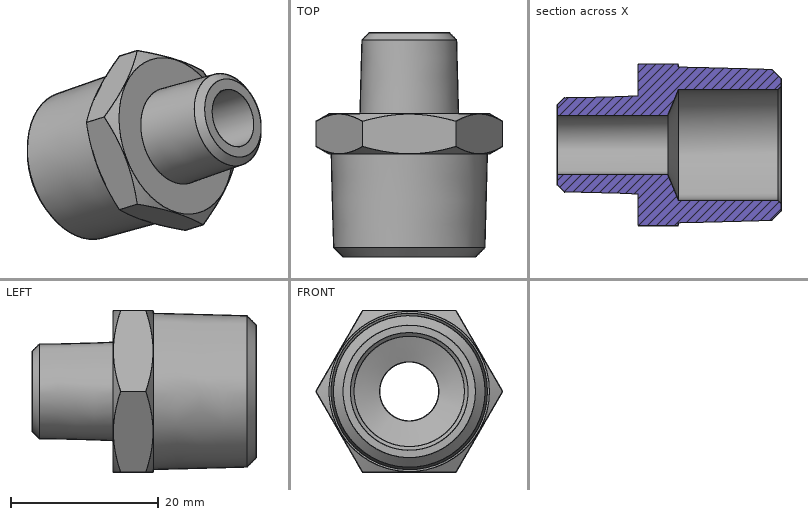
import cadquery as cq
import math

across_flats = 22.0
hex_length = 5.5
large_end_length = 14.0
small_end_length = 11.0

taper_half_angle = 1.5
large_rim_diameter = 20.6
large_chamfer = 1.3
small_rim_diameter = 12.9
small_chamfer = 1.0

hex_chamfer_angle = 30.0
hex_face_diameter = 21.8

bore_diameter = 15.0
bore_mouth_diameter = 16.0
bore_depth = large_end_length
passage_diameter = 8.0
floor_cone_angle = 135.0

total_length = large_end_length + hex_length + small_end_length
large_tip = -total_length / 2
hex_start = large_tip + large_end_length
hex_end = hex_start + hex_length
small_tip = total_length / 2


def revolve_profile(points):
    """Revolve a closed (radius, y) outline about the Y axis."""
    return cq.Workplane("XY").polyline(points).close().revolve(360, (0, 0), (0, 1))


def male_end(tip, root, rim_diameter, chamfer):
    """Tapered end with a 45 degree chamfer at its tip, joined to the hexagon at root."""
    direction = math.copysign(1, root - tip)
    rim = tip + direction * chamfer
    rim_radius = rim_diameter / 2
    root_radius = rim_radius + abs(root - rim) * math.tan(math.radians(taper_half_angle))
    return revolve_profile(
        [
            (0, tip),
            (rim_radius - chamfer, tip),
            (rim_radius, rim),
            (root_radius, root),
            (0, root),
        ]
    )


def hexagon():
    """Hexagon with corners on X and coned corners on both faces."""
    across_corners = across_flats / math.cos(math.radians(30))
    prism = (
        cq.Workplane("XZ", origin=(0, hex_end, 0))
        .polygon(6, across_corners)
        .extrude(hex_length)
    )
    face_radius = hex_face_diameter / 2
    corner_radius = across_corners / 2
    drop = (corner_radius - face_radius) * math.tan(math.radians(hex_chamfer_angle))
    envelope = revolve_profile(
        [
            (0, hex_start),
            (face_radius, hex_start),
            (corner_radius, hex_start + drop),
            (corner_radius, hex_end - drop),
            (face_radius, hex_end),
            (0, hex_end),
        ]
    )
    return prism.intersect(envelope)


def bore():
    """Stepped bore with a chamfered mouth and a coned floor."""
    mouth_radius = bore_mouth_diameter / 2
    bore_radius = bore_diameter / 2
    passage_radius = passage_diameter / 2
    mouth_chamfer = mouth_radius - bore_radius
    floor = large_tip + bore_depth
    cone_length = (bore_radius - passage_radius) / math.tan(math.radians(floor_cone_angle / 2))
    return revolve_profile(
        [
            (0, large_tip),
            (mouth_radius, large_tip),
            (bore_radius, large_tip + mouth_chamfer),
            (bore_radius, floor),
            (passage_radius, floor + cone_length),
            (passage_radius, small_tip),
            (0, small_tip),
        ]
    )


large_end = male_end(large_tip, hex_start, large_rim_diameter, large_chamfer)
small_end = male_end(small_tip, hex_end, small_rim_diameter, small_chamfer)
result = hexagon().union(large_end).union(small_end).cut(bore())